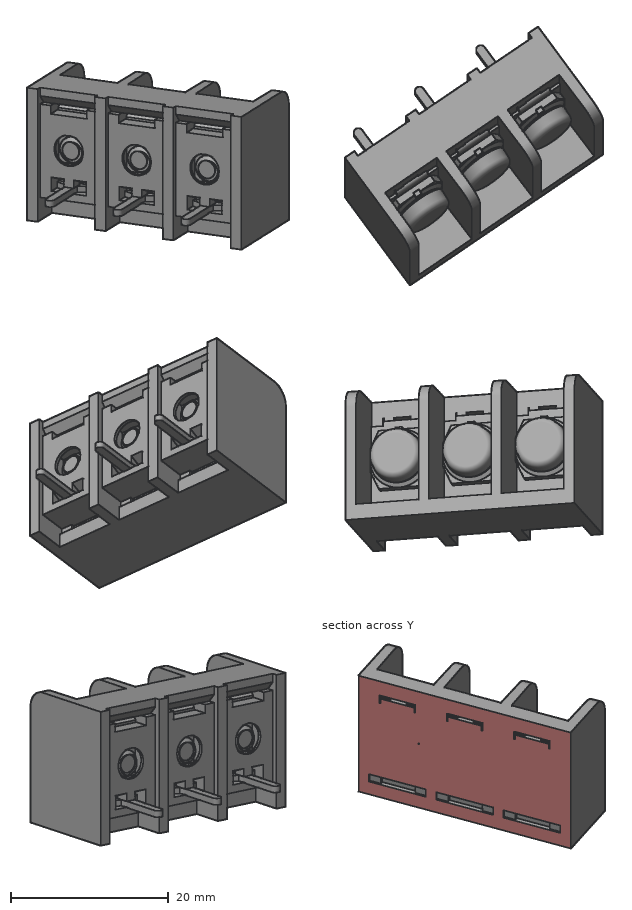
import cadquery as cq


POLES = 3
BAY_WIDTH = 8.0
WALL = 1.5
PITCH = BAY_WIDTH + WALL
LENGTH = POLES * PITCH + WALL
HEIGHT = 17.6
DEPTH = 14.3
WALL_CORNER_RADIUS = 2.5
WALL_DRAFT = 0.1
PANEL_Y = 0.75
SEAT_Y = 6.75
FLOOR = 2.0

PANEL_TOP = 15.4
PANEL_BOTTOM = 3.05
LIP_HEIGHT = 1.1
LIP_GROOVE_DEPTH = 1.0
UNDERCUT_DEPTH = 3.5
UNDERCUT_STEP = 0.4
UNDERCUT_POCKET = 0.4
SLOT_WIDTH = 5.04
SLOT_BOTTOM = 14.29
SLOT_DEPTH = 4.0
VENT_WIDTH = 2.2
GAP_WIDTH = 0.15
WINDOW_WIDTH = 4.85
WINDOW_BOTTOM = 4.08
WINDOW_TOP = 5.92
WINDOW_INNER_TOP = 5.2
WINDOW_DEPTH = 2.2
WINDOW_SLOPE_DEPTH = 1.9
TONGUE_WIDTH = 1.37
INNER_TONGUE_BOTTOM = 5.05

METAL = 0.85
PLATE_WIDTH = 7.85
PLATE_PROUD = 0.4
PLATE_Y = SEAT_Y + PLATE_PROUD
TERMINAL_BOTTOM = 4.0
TERMINAL_TOP = 15.0
TAB_WIDTH = 4.8
TAB_END_Y = 2.75
TAB_CHAMFER = 0.4
EAR_TOP = SLOT_BOTTOM
PIN_WIDTH = 1.2
PIN_ROOT_WIDTH = 1.55
PIN_ROOT_LENGTH = 0.7
PIN_LENGTH = 5.4
TAPER_START_Y = 2.4
TAPER_END_Y = 1.7

SCREW_Z = 9.55
SCREW_RADIUS = 1.72
CORE_RADIUS = 1.18
CORE_LENGTH = 0.1
CORE_TIP_Y = PANEL_Y + 0.55
THREAD_END_Y = CORE_TIP_Y + CORE_LENGTH
THREAD_END_RADIUS = 1.35
THREAD_END_OFFSET = 0.17
THREAD_END_LENGTH = 0.4
HOLE_Z = 9.72
HOLE_RADIUS = 2.02
HOLE_DEPTH = 0.42
CAVITY_SIZE = 4.6
CAVITY_DEPTH = 2.0
WASHER_WIDTH = 7.7
WASHER_FLAT = 5.45
WASHER_CORNER_HEIGHT = 2.4
WASHER_THICKNESS = 1.0
WASHER_CONE = 0.4
WASHER_CONE_RADIUS = 3.0
LUG_WIDTH = 0.85
LUG_LENGTH = 0.7
LUG_HEIGHT = 0.15
HEAD_RADIUS = 3.42
HEAD_NECK_RADIUS = 3.27
HEAD_TOP_RADIUS = 3.25
HEAD_RIM = 0.25
HEAD_HEIGHT = 2.3
HEAD_ROUNDING = 0.7
WASHER_TOP_Y = PLATE_Y + WASHER_THICKNESS
HEAD_Y = WASHER_TOP_Y + WASHER_CONE

pole_centres = [(i - (POLES - 1) / 2) * PITCH for i in range(POLES)]


def block(width, y_start, y_end, z_start, z_end, x_centre=0.0):
    """Box centred on x_centre, spanning the given Y and Z ranges."""
    size_y = y_end - y_start
    size_z = z_end - z_start
    corner = (x_centre - width / 2, y_start, z_start)
    return cq.Workplane("XY").box(width, size_y, size_z, centered=False).translate(corner)


def extrude_side_profile(points, width):
    """Prism of a (Y, Z) outline, centred on X = 0."""
    return cq.Workplane("YZ").polyline(points).close().extrude(width / 2, both=True)


def y_cylinder(radius, y_start, y_end, z):
    return cq.Workplane("XZ", origin=(0, y_start, z)).circle(radius).extrude(y_start - y_end)


def make_housing_blank():
    blank = block(LENGTH, 0, DEPTH, 0, HEIGHT)
    return blank.edges("|X and >Y and >Z").fillet(WALL_CORNER_RADIUS)


def make_screw_bay():
    """Bay above the floor, widening slightly towards the open +Y end."""
    inner = BAY_WIDTH / 2
    outer = inner + WALL_DRAFT
    outline = [(-inner, SEAT_Y), (inner, SEAT_Y), (outer, DEPTH), (-outer, DEPTH)]
    return cq.Workplane("XY", origin=(0, 0, FLOOR)).polyline(outline).close().extrude(HEIGHT)


def make_undercut():
    """Space below the panel: stepped at floor level, with a pocket in the middle."""
    back_y = PANEL_Y + UNDERCUT_DEPTH
    step_y = back_y + UNDERCUT_STEP
    cavity = block(BAY_WIDTH, PANEL_Y, back_y, 0, PANEL_BOTTOM)
    cavity = cavity.union(block(BAY_WIDTH, PANEL_Y, step_y, FLOOR, PANEL_BOTTOM))
    pocket = block(WINDOW_WIDTH, PANEL_Y, step_y + UNDERCUT_POCKET, FLOOR, PANEL_BOTTOM)
    return cavity.union(pocket)


def make_slot():
    """Groove under the top lip and the slot for the upper terminal tab."""
    groove = extrude_side_profile(
        [
            (PANEL_Y, HEIGHT - LIP_HEIGHT),
            (PANEL_Y, PANEL_TOP),
            (PANEL_Y + LIP_GROOVE_DEPTH, PANEL_TOP),
        ],
        BAY_WIDTH,
    )
    slot = block(SLOT_WIDTH, PANEL_Y, PANEL_Y + SLOT_DEPTH, SLOT_BOTTOM, PANEL_TOP)
    vent = block(VENT_WIDTH, PANEL_Y, SEAT_Y, TERMINAL_TOP, PANEL_TOP)
    gap_x = (SLOT_WIDTH - GAP_WIDTH) / 2
    gap = block(GAP_WIDTH, PANEL_Y, SEAT_Y, SLOT_BOTTOM, PANEL_TOP, gap_x)
    return groove.union(slot).union(vent).union(gap)


def make_window():
    """Window around the pin root, with a sloped ceiling and a hanging tongue."""
    back_y = PANEL_Y + WINDOW_DEPTH
    slope_end_y = PANEL_Y + WINDOW_SLOPE_DEPTH
    window = extrude_side_profile(
        [
            (PANEL_Y, WINDOW_BOTTOM),
            (PANEL_Y, WINDOW_TOP),
            (slope_end_y, WINDOW_INNER_TOP),
            (back_y, WINDOW_INNER_TOP),
            (back_y, WINDOW_BOTTOM),
        ],
        WINDOW_WIDTH,
    )
    pin_top = TERMINAL_BOTTOM + METAL
    tongue = block(TONGUE_WIDTH, PANEL_Y, slope_end_y, pin_top, WINDOW_TOP)
    inner_tongue = block(VENT_WIDTH, slope_end_y, back_y, INNER_TONGUE_BOTTOM, WINDOW_TOP)
    return window.cut(tongue).cut(inner_tongue)


def make_terminal():
    """Bent plate with an upper tab and a lower tab that tapers into the pin."""
    plate_back_y = PLATE_Y - METAL
    plate = block(PLATE_WIDTH, plate_back_y, PLATE_Y, TERMINAL_BOTTOM, EAR_TOP)
    tab = block(TAB_WIDTH, TAB_END_Y, PLATE_Y, TERMINAL_TOP - METAL, TERMINAL_TOP)
    tab = tab.edges("|X and <Y and >Z").chamfer(TAB_CHAMFER)
    tab = tab.edges("|X and >Y and >Z").fillet(PLATE_PROUD)
    half_tab = TAB_WIDTH / 2
    half_pin = PIN_WIDTH / 2
    half_root = PIN_ROOT_WIDTH / 2
    root_end_y = TAPER_END_Y - PIN_ROOT_LENGTH
    round_start_y = half_pin - PIN_LENGTH
    pin = (
        cq.Workplane("XY", origin=(0, 0, TERMINAL_BOTTOM))
        .moveTo(-half_tab, PLATE_Y)
        .lineTo(-half_tab, TAPER_START_Y)
        .lineTo(-half_root, TAPER_END_Y)
        .lineTo(-half_pin, root_end_y)
        .lineTo(-half_pin, round_start_y)
        .threePointArc((0, -PIN_LENGTH), (half_pin, round_start_y))
        .lineTo(half_pin, root_end_y)
        .lineTo(half_root, TAPER_END_Y)
        .lineTo(half_tab, TAPER_START_Y)
        .lineTo(half_tab, PLATE_Y)
        .close()
        .extrude(METAL)
    )
    return plate.union(tab).union(pin)


def make_washer():
    """Square washer with cut corners, a raised centre and a small lug on its +Z edge."""
    corner_x = (WASHER_WIDTH - WASHER_FLAT) / 2
    half = WASHER_WIDTH / 2
    blank = block(WASHER_WIDTH, PLATE_Y, WASHER_TOP_Y, -half, half)
    washer = blank.edges("|Y").chamfer(WASHER_CORNER_HEIGHT, corner_x)
    lug = block(LUG_WIDTH, HEAD_Y - LUG_LENGTH, HEAD_Y, 0, half + LUG_HEIGHT)
    cone = (
        cq.Workplane("XY")
        .moveTo(0, PLATE_Y)
        .lineTo(half, PLATE_Y)
        .lineTo(half, WASHER_TOP_Y)
        .lineTo(WASHER_CONE_RADIUS, HEAD_Y)
        .lineTo(0, HEAD_Y)
        .close()
        .revolve(360, (0, 0, 0), (0, 1, 0))
    )
    return washer.union(cone).union(lug).translate((0, 0, SCREW_Z))


def make_screw_head():
    """Slightly tapered head with a rounded rim, turned about the screw axis."""
    head_top_y = HEAD_Y + HEAD_HEIGHT
    profile = (
        cq.Workplane("XY")
        .moveTo(0, HEAD_Y)
        .lineTo(HEAD_NECK_RADIUS, HEAD_Y)
        .lineTo(HEAD_RADIUS, HEAD_Y + HEAD_RIM)
        .lineTo(HEAD_TOP_RADIUS, head_top_y)
        .lineTo(0, head_top_y)
        .close()
    )
    head = profile.revolve(360, (0, 0, 0), (0, 1, 0))
    return head.faces(">Y").edges().fillet(HEAD_ROUNDING).translate((0, 0, SCREW_Z))


def make_screw_shank():
    """Shank whose thread runs out off-centre around the protruding core."""
    thread_start_y = THREAD_END_Y + THREAD_END_LENGTH
    shank = y_cylinder(SCREW_RADIUS, thread_start_y, HEAD_Y, SCREW_Z)
    run_out = (
        cq.Workplane("XZ", origin=(0, thread_start_y, SCREW_Z))
        .circle(SCREW_RADIUS)
        .workplane(offset=THREAD_END_LENGTH)
        .center(THREAD_END_OFFSET, -THREAD_END_OFFSET)
        .circle(THREAD_END_RADIUS)
        .loft()
    )
    core = y_cylinder(CORE_RADIUS, CORE_TIP_Y, thread_start_y, SCREW_Z)
    return shank.union(run_out).union(core)


def make_screw_hole():
    """Round rim opening into a square cavity around the screw end."""
    rim_end_y = PANEL_Y + HOLE_DEPTH
    half = CAVITY_SIZE / 2
    rim = y_cylinder(HOLE_RADIUS, PANEL_Y, rim_end_y, HOLE_Z)
    cavity = block(CAVITY_SIZE, rim_end_y, PANEL_Y + CAVITY_DEPTH, HOLE_Z - half, HOLE_Z + half)
    return rim.union(cavity)


def make_pole_cutter():
    cutter = block(BAY_WIDTH, 0, PANEL_Y, 0, HEIGHT)
    cutter = cutter.union(make_screw_bay())
    cutter = cutter.union(make_undercut())
    cutter = cutter.union(make_slot())
    cutter = cutter.union(make_window())
    return cutter.union(make_screw_hole())


pole_cutter = make_pole_cutter()
pole_metal = make_terminal().union(make_washer())
pole_metal = pole_metal.union(make_screw_head()).union(make_screw_shank())

result = make_housing_blank()
for x in pole_centres:
    result = result.cut(pole_cutter.translate((x, 0, 0)))
for x in pole_centres:
    result = result.union(pole_metal.translate((x, 0, 0)))